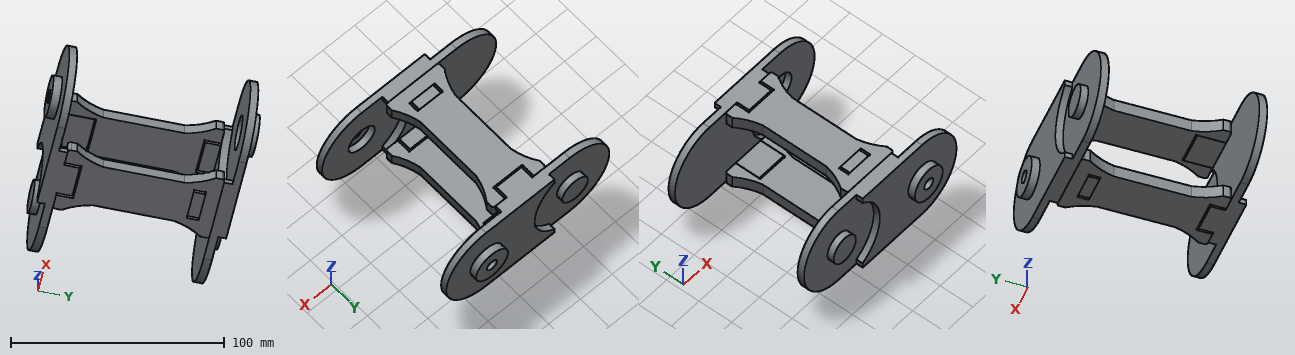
import cadquery as cq


LENGTH = 106.0
HEIGHT = 50.0
END_RADIUS = HEIGHT / 2
PIVOT_X = LENGTH / 2 - END_RADIUS

INNER_FACE_Y = 37.5
INNER_LAYER = 4.0
STEP_FACE_Y = INNER_FACE_Y + INNER_LAYER
OUTER_FACE_Y = 45.4
BOSS_FACE_Y = 49.5
SHOULDER_X = 15.0
RELIEF_GAP = 0.4
RELIEF_RADIUS = END_RADIUS + RELIEF_GAP
PIN_RADIUS = 8.0
BOSS_RADIUS = 10.1
PIN_GAP = 0.2
SOCKET_RADIUS = PIN_RADIUS + PIN_GAP
BORE_RADIUS = 3.2

BAR_THICKNESS = 7.0
BAR_TOP = HEIGHT / 2
BAR_BOTTOM = BAR_TOP - BAR_THICKNESS
BAR_WAIST = 10.9
BAR_END = 16.6
FLARE_START_Y = 19.4
FLARE_END_Y = 33.3
FLARE_MID_Y = (FLARE_START_Y + FLARE_END_Y) / 2
FLARE_MID = 12.9
CORNER = 1.3

JOINT_WIDTH = 18.2
TIP_GAP = 0.7
LUG_WIDTH = 15.9
LUG_LENGTH = 7.4

ARM_SIDE_GAP = 0.16
ARM_WIDTH = JOINT_WIDTH - 2 * ARM_SIDE_GAP
ARM_LENGTH = 14.4
ARM_THICKNESS = BAR_THICKNESS / 2
WINDOW_WIDTH = LUG_WIDTH
CATCH_WIDTH = 13.6
CATCH_NEAR = 7.0
CATCH_FAR = 12.7


def centred_block(width, y_range, z_range):
    """Box centred on X = 0 between two Y planes and two Z planes."""
    (y0, y1), (z0, z1) = y_range, z_range
    corner_plane = cq.Workplane("XY", origin=(0, y0, z0))
    return corner_plane.box(width, y1 - y0, z1 - z0, centered=(True, False, False))


def disc(x, radius, y0, y1):
    """Cylinder along Y, centred at X = x and Z = 0."""
    return cq.Workplane("XZ", origin=(x, y0, 0)).circle(radius).extrude(y0 - y1)


def plate_layer(y0, y1, side):
    """Layer with a round end at side * PIVOT_X, cut back around the other pivot."""
    length = LENGTH / 2 + SHOULDER_X
    middle_x = side * (LENGTH / 2 - length / 2)
    slab = centred_block(length, (y0, y1), (-HEIGHT / 2, HEIGHT / 2)).translate((middle_x, 0, 0))
    outline = cq.Workplane("XZ", origin=(0, y0, 0)).slot2D(LENGTH, HEIGHT).extrude(y0 - y1)
    return outline.intersect(slab).cut(disc(-side * PIVOT_X, RELIEF_RADIUS, y0, y1))


def make_side_plate():
    """Side plate on the +Y side, with its lug at the top and its snap arm at the bottom."""
    plate = plate_layer(INNER_FACE_Y, STEP_FACE_Y, -1).union(plate_layer(STEP_FACE_Y, OUTER_FACE_Y, 1))

    plate = plate.union(disc(-PIVOT_X, PIN_RADIUS, STEP_FACE_Y, OUTER_FACE_Y))
    plate = plate.union(disc(PIVOT_X, BOSS_RADIUS, OUTER_FACE_Y, BOSS_FACE_Y))
    plate = plate.cut(disc(PIVOT_X, BORE_RADIUS, STEP_FACE_Y, BOSS_FACE_Y))

    plate = plate.cut(disc(PIVOT_X, SOCKET_RADIUS, STEP_FACE_Y, OUTER_FACE_Y))

    plate = plate.union(
        centred_block(LUG_WIDTH, (INNER_FACE_Y - LUG_LENGTH, INNER_FACE_Y), (BAR_BOTTOM, BAR_TOP))
    )

    arm_bottom = -BAR_BOTTOM - ARM_THICKNESS
    arm = centred_block(ARM_WIDTH, (INNER_FACE_Y - ARM_LENGTH, INNER_FACE_Y), (arm_bottom, -BAR_BOTTOM))
    catch = centred_block(
        CATCH_WIDTH, (INNER_FACE_Y - CATCH_FAR, INNER_FACE_Y - CATCH_NEAR), (-BAR_TOP, arm_bottom)
    )
    return plate.union(arm).union(catch)


def bar_blank():
    """Solid crossbar with flared ends and rounded corners."""
    blank = (
        cq.Workplane("XY", origin=(0, 0, BAR_BOTTOM))
        .moveTo(BAR_WAIST, -FLARE_START_Y)
        .lineTo(BAR_WAIST, FLARE_START_Y)
        .threePointArc((FLARE_MID, FLARE_MID_Y), (BAR_END, FLARE_END_Y))
        .lineTo(BAR_END, INNER_FACE_Y)
        .lineTo(-BAR_END, INNER_FACE_Y)
        .lineTo(-BAR_END, FLARE_END_Y)
        .threePointArc((-FLARE_MID, FLARE_MID_Y), (-BAR_WAIST, FLARE_START_Y))
        .lineTo(-BAR_WAIST, -FLARE_START_Y)
        .threePointArc((-FLARE_MID, -FLARE_MID_Y), (-BAR_END, -FLARE_END_Y))
        .lineTo(-BAR_END, -INNER_FACE_Y)
        .lineTo(BAR_END, -INNER_FACE_Y)
        .lineTo(BAR_END, -FLARE_END_Y)
        .threePointArc((FLARE_MID, -FLARE_MID_Y), (BAR_WAIST, -FLARE_START_Y))
        .close()
        .extrude(BAR_THICKNESS)
    )
    end_corners = blank.faces("<Y or >Y").edges("|Z")
    return end_corners.fillet(CORNER)


def make_crossbar():
    """Upper crossbar, with its lug slot at +Y and its snap pocket at -Y."""
    slot = centred_block(
        JOINT_WIDTH, (INNER_FACE_Y - LUG_LENGTH - TIP_GAP, INNER_FACE_Y), (BAR_BOTTOM, BAR_TOP)
    )
    pocket = centred_block(
        JOINT_WIDTH,
        (-INNER_FACE_Y, -INNER_FACE_Y + ARM_LENGTH + TIP_GAP),
        (BAR_BOTTOM, BAR_BOTTOM + ARM_THICKNESS),
    )
    window = centred_block(
        WINDOW_WIDTH, (-INNER_FACE_Y + CATCH_NEAR, -INNER_FACE_Y + CATCH_FAR), (BAR_BOTTOM, BAR_TOP)
    )
    return bar_blank().cut(slot).cut(pocket).cut(window)


side_plate = make_side_plate()
crossbar = make_crossbar()

bodies = []
for half_turn in (0, 180):
    for body in (side_plate, crossbar):
        bodies.append(body.rotate((0, 0, 0), (1, 0, 0), half_turn).val())

result = cq.Compound.makeCompound(bodies)